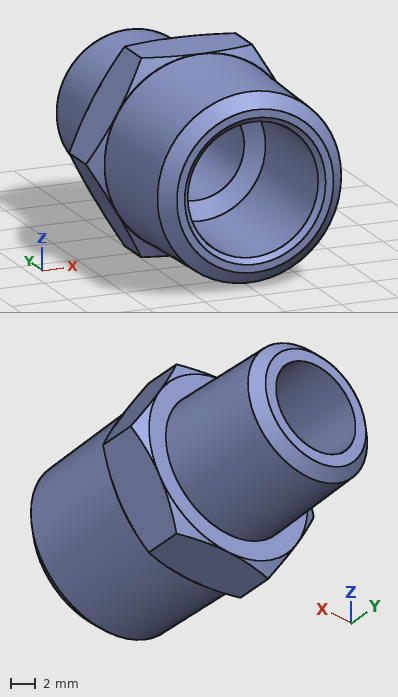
import cadquery as cq
import math

length = 27.5
across_flats = 17.0
across_corners = across_flats / math.cos(math.radians(30))
hex_start = 11.5
hex_width = 5.0
hex_end = hex_start + hex_width
hex_chamfer_angle = 30.0

radial_taper = 1 / 32
large_root_radius = 8.47
large_chamfer = 1.2
small_root_radius = 6.7
small_chamfer = 1.02

through_radius = 4.25
bore_radius = 5.78
bore_depth = hex_start
cone_half_angle = 60.0
mouth_chamfer = 0.47


def revolve_about_y(points):
    """Turn a closed (radius, Y) outline about the Y axis."""
    return cq.Workplane("XY").polyline(points).close().revolve(360, (0, 0, 0), (0, 1, 0))


def tapered_end(root_y, tip_y, root_radius, chamfer):
    """Solid tapered end with a 45 degree chamfer at its tip."""
    direction = math.copysign(1, tip_y - root_y)
    shoulder_y = tip_y - direction * chamfer
    shoulder_radius = root_radius - radial_taper * abs(shoulder_y - root_y)
    return revolve_about_y([
        (0, root_y),
        (root_radius, root_y),
        (shoulder_radius, shoulder_y),
        (shoulder_radius - chamfer, tip_y),
        (0, tip_y),
    ])


def hexagon():
    """Hexagon with corners on X, its corners chamfered on both faces."""
    prism = (
        cq.Workplane("XZ", origin=(0, hex_start, 0))
        .polygon(6, across_corners)
        .extrude(-hex_width)
    )
    face_radius = across_flats / 2
    corner_radius = across_corners / 2
    chamfer_depth = (corner_radius - face_radius) * math.tan(math.radians(hex_chamfer_angle))
    chamfer_envelope = revolve_about_y([
        (0, hex_start),
        (face_radius, hex_start),
        (corner_radius, hex_start + chamfer_depth),
        (corner_radius, hex_end - chamfer_depth),
        (face_radius, hex_end),
        (0, hex_end),
    ])
    return prism.intersect(chamfer_envelope)


def bore():
    """Chamfered large bore, cone and through hole as one cutter."""
    cone_length = (bore_radius - through_radius) / math.tan(math.radians(cone_half_angle))
    return revolve_about_y([
        (0, 0),
        (bore_radius + mouth_chamfer, 0),
        (bore_radius, mouth_chamfer),
        (bore_radius, bore_depth),
        (through_radius, bore_depth + cone_length),
        (through_radius, length),
        (0, length),
    ])


large_end = tapered_end(hex_start, 0, large_root_radius, large_chamfer)
small_end = tapered_end(hex_end, length, small_root_radius, small_chamfer)
result = hexagon().union(large_end).union(small_end).cut(bore())